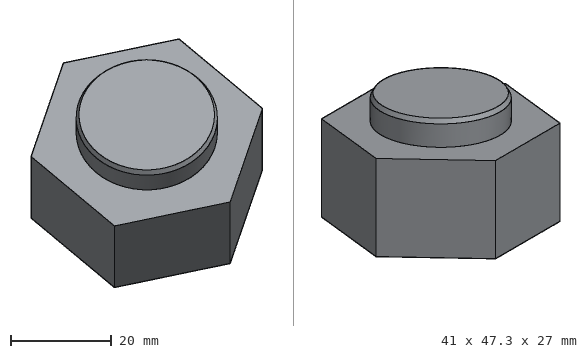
import cadquery as cq
import math

hex_sides = 6
across_flats = 41.0
hex_height = 21.0
corner_angle = 90.0
boss_diameter = 28.0
boss_height = 6.0
chamfer_height = 1.0
chamfer_angle = 30.0

across_corners = across_flats / math.cos(math.pi / hex_sides)
chamfer_inset = chamfer_height * math.tan(math.radians(chamfer_angle))


def hex_body():
    """Hexagonal prism with two flats facing +X and -X, base on Z = 0."""
    return (
        cq.Workplane("XY")
        .polygon(hex_sides, across_corners)
        .extrude(hex_height)
        .rotate((0, 0, 0), (0, 0, 1), corner_angle)
    )


def boss():
    """Round boss on the hexagon's top face, revolved with its chamfered rim."""
    radius = boss_diameter / 2
    top = hex_height + boss_height
    return (
        cq.Workplane("XZ")
        .moveTo(0, hex_height)
        .lineTo(radius, hex_height)
        .lineTo(radius, top - chamfer_height)
        .lineTo(radius - chamfer_inset, top)
        .lineTo(0, top)
        .close()
        .revolve(360, (0, 0, 0), (0, 1, 0))
    )


result = hex_body().union(boss())